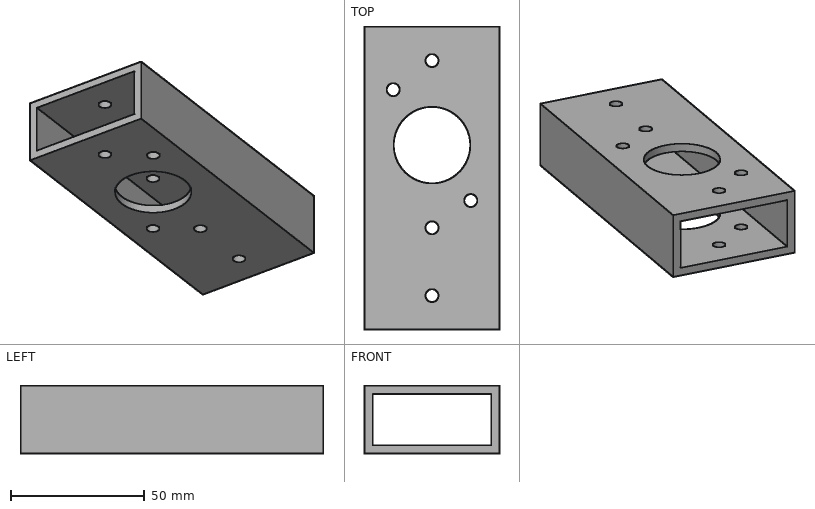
import cadquery as cq

width = 50.8
length = 113.5
height = 25.4
wall = 3.2

opening_diameter = 28.6
opening_y = 12.4

hole_diameter = 4.8
end_hole_y = 44.0
inner_hole_y = -18.6
diagonal_offset_x = 14.5
diagonal_offset_y = 20.8

hole_centers = [
    (0, end_hole_y),
    (0, -end_hole_y),
    (0, inner_hole_y),
    (-diagonal_offset_x, opening_y + diagonal_offset_y),
    (diagonal_offset_x, opening_y - diagonal_offset_y),
]


def make_tube():
    outside = cq.Workplane("XY").box(width, length, height)
    inside = cq.Workplane("XY").box(width - 2 * wall, length, height - 2 * wall)
    return outside.cut(inside)


def vertical_cutters(centers, diameter):
    """Cylinders tall enough to pass through both the top and bottom walls."""
    base = cq.Workplane("XY").workplane(offset=-height / 2)
    return base.pushPoints(centers).circle(diameter / 2).extrude(height)


result = (
    make_tube()
    .cut(vertical_cutters([(0, opening_y)], opening_diameter))
    .cut(vertical_cutters(hole_centers, hole_diameter))
)